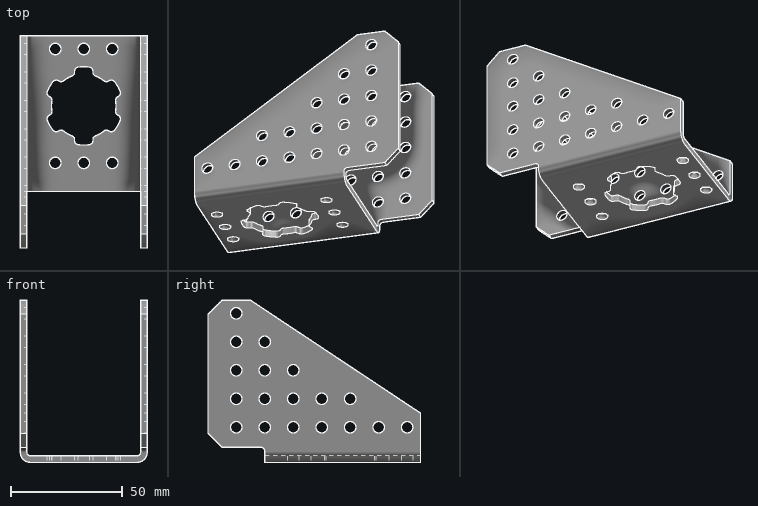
import cadquery as cq

width = 56.8
length = 95.0
height = 72.6
thickness = 3.0
bend_radius = 4.6
base_length = 69.7

hole_diameter = 5.0
pitch = 12.7
edge_margin = 6.0
bottom_row_z = 15.8
columns_per_row = [7, 5, 3, 2, 1]

back_height = 22.1
slope_end = 76.0
corner_cut = 6.3
overhang_z = 6.7
relief_radius = 1.5

opening_radius = 14.3
lobe_radius = 17.5
lobe_width = 8.1
lobe_count = 6
lobe_fillet = 1.8

last_column = max(columns_per_row) - 1
base_row_offset = 2 * pitch
opening_y = -(edge_margin + base_row_offset)


def channel():
    """Full-length U channel with rounded bends."""
    outer = (
        cq.Workplane("XY")
        .box(width, length, height, centered=(True, False, False))
        .translate((0, -length, 0))
        .edges("|Y and <Z")
        .fillet(bend_radius)
    )
    inner = (
        cq.Workplane("XY")
        .box(width - 2 * thickness, length, height, centered=(True, False, False))
        .translate((0, -length, thickness))
        .edges("|Y and <Z")
        .fillet(bend_radius - thickness)
    )
    return outer.cut(inner)


def side_profile():
    """Side outline of the bracket, extruded across its full width."""
    outline = [
        (0, 0),
        (0, back_height),
        (-slope_end, height),
        (-length + corner_cut, height),
        (-length, height - corner_cut),
        (-length, overhang_z + corner_cut),
        (-length + corner_cut, overhang_z),
        (-base_length - relief_radius, overhang_z),
    ]
    return (
        cq.Workplane("YZ")
        .polyline(outline)
        .radiusArc((-base_length, overhang_z - relief_radius), relief_radius)
        .lineTo(-base_length, 0)
        .close()
        .extrude(width / 2, both=True)
    )


def side_holes():
    """Stepped rows of holes through both side plates, aligned at the front."""
    points = []
    for row, columns in enumerate(columns_per_row):
        for step in range(columns):
            y = -(edge_margin + (last_column - step) * pitch)
            points.append((y, bottom_row_z + row * pitch))
    return cq.Workplane("YZ").pushPoints(points).circle(hole_diameter / 2).extrude(width, both=True)


def base_holes():
    """Three holes on each side of the lobed opening."""
    points = [
        (column * pitch, opening_y + row * base_row_offset)
        for column in (-1, 0, 1)
        for row in (-1, 1)
    ]
    return cq.Workplane("XY").pushPoints(points).circle(hole_diameter / 2).extrude(thickness)


def lobed_opening():
    """Round opening with rounded lobes, one of them pointing along +Y."""
    bar_length = 3 * lobe_radius
    lobes = cq.Workplane("XY").circle(opening_radius).extrude(thickness)
    for index in range(lobe_count // 2):
        bar = cq.Workplane("XY").rect(lobe_width, bar_length).extrude(thickness)
        lobes = lobes.union(bar.rotate((0, 0, 0), (0, 0, 1), index * 360 / lobe_count))
    limit = cq.Workplane("XY").circle(lobe_radius).extrude(thickness)
    opening = lobes.intersect(limit).edges("|Z").fillet(lobe_fillet)
    return opening.translate((0, opening_y, 0))


result = (
    channel()
    .intersect(side_profile())
    .cut(side_holes())
    .cut(base_holes())
    .cut(lobed_opening())
)